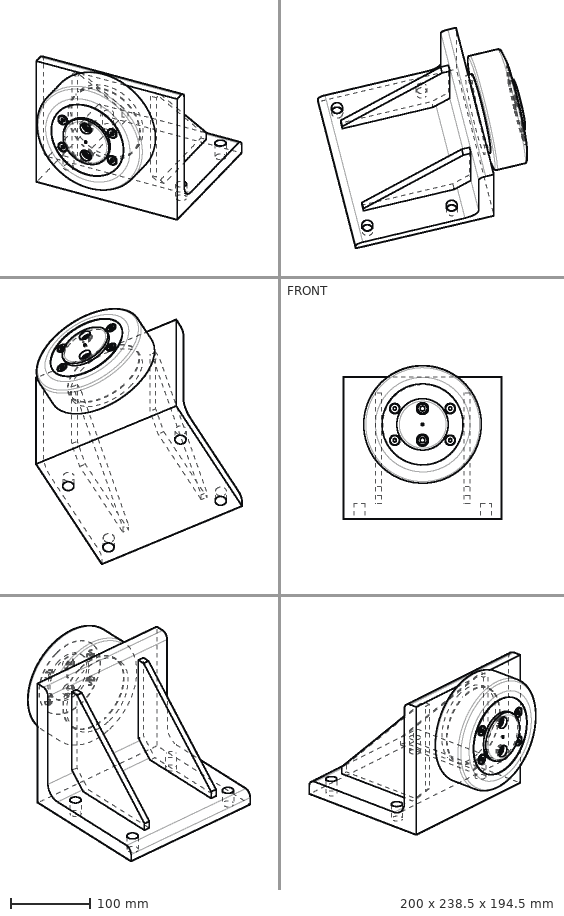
import cadquery as cq
import math

width = 200.0
leg = 180.0
plate = 20.0
inner_radius = 18.0
toe_radius = 9.0

hole_diameter = 14.0
hole_spacing_x = 160.0
hole_spacing_y = 110.0
edge_margin = 20.0

gusset_thickness = 8.0
gusset_outer_span = 120.0
gusset_nose = 10.0
gusset_corner_cut = 22.0

axis_height = 120.0
boss_diameter = 103.0
boss_front = 7.6
spacer_diameter = 101.4
roller_radius = 74.5
roller_back = 8.0
roller_front = 53.2
flat_radius = 59.9
crown_angle = 14
back_rim_fillet = 2.5
front_rim_fillet = 3.0
cover_diameter = 102.5
cover_front = 54.0
hub_diameter = 65.0
hub_front = 58.5
hub_chamfer_radial = 2.9
hub_chamfer_axial = 0.7
grease_hole_diameter = 3.0
grease_hole_depth = 2.5

head_diameter = 11.7
head_bore_diameter = 12.9
head_bore_depth = 1.2
head_rise = 0.5
socket_depth = 2.5
screw_offset_x = 35.0
screw_offset_z = 20.0
cover_socket_flats = 4.0
cover_socket_turn = 0
hub_socket_flats = 6.0
hub_socket_turn = 0
hub_bore_diameter = 15.0
hub_bore_depth = 5.7


def front_plane(depth):
    """Plane facing -Y on the roller axis, at the given depth in front of the wall plate."""
    return cq.Workplane(cq.Plane(origin=(0, -depth, axis_height), xDir=(1, 0, 0), normal=(0, -1, 0)))


def disc(diameter, back, front, x=0, z=0):
    """Round disc between two depths, offset by x and z from the roller axis."""
    return front_plane(back).center(x, z).circle(diameter / 2).extrude(front - back)


def make_bracket():
    angle = (
        cq.Workplane("YZ")
        .polyline([(0, 0), (leg, 0), (leg, plate), (plate, plate), (plate, leg), (0, leg)])
        .close()
        .extrude(width / 2, both=True)
    )
    angle = angle.edges(cq.selectors.NearestToPointSelector((0, plate, plate))).fillet(inner_radius)
    for toe in [(0, leg, plate), (0, plate, leg)]:
        angle = angle.edges(cq.selectors.NearestToPointSelector(toe)).fillet(toe_radius)
    holes = (
        cq.Workplane("XY")
        .center(0, leg - edge_margin - hole_spacing_y / 2)
        .rarray(hole_spacing_x, hole_spacing_y, 2, 2)
        .circle(hole_diameter / 2)
        .extrude(plate)
    )
    return angle.cut(holes)


def make_gusset(x_start):
    end = leg - edge_margin
    outline = [
        (plate + gusset_corner_cut, plate),
        (end, plate),
        (end, plate + gusset_nose),
        (plate + gusset_nose, end),
        (plate, end),
        (plate, plate + gusset_corner_cut),
    ]
    return cq.Workplane("YZ").workplane(offset=x_start).polyline(outline).close().extrude(gusset_thickness)


def make_roller():
    crown_drop = (roller_radius - flat_radius) * math.tan(math.radians(crown_angle))
    half_section = [
        (0, -roller_back),
        (roller_radius, -roller_back),
        (roller_radius, crown_drop - roller_front),
        (flat_radius, -roller_front),
        (0, -roller_front),
    ]
    roller = cq.Workplane("XY").polyline(half_section).close().revolve(360, (0, 0, 0), (0, 1, 0))
    rim = cq.selectors.RadiusNthSelector(-1)
    roller = roller.edges(rim).edges("<Y").fillet(front_rim_fillet)
    roller = roller.faces(">Y").edges().fillet(back_rim_fillet)
    return roller.translate((0, 0, axis_height))


def make_hub():
    hub = disc(hub_diameter, roller_front, hub_front)
    return hub.faces("<Y").chamfer(hub_chamfer_axial, hub_chamfer_radial)


def add_screw(body, x, z, face, socket_flats, socket_turn):
    """Set a screw head into the body's face that lies at depth `face`."""
    seat = face - head_bore_depth
    top = face + head_rise
    socket = (
        front_plane(top)
        .center(x, z)
        .transformed(rotate=(0, 0, socket_turn))
        .polygon(6, socket_flats, circumscribed=True)
        .extrude(-socket_depth)
    )
    body = body.cut(disc(head_bore_diameter, seat, face, x, z))
    return body.union(disc(head_diameter, seat, top, x, z)).cut(socket)


result = make_bracket()
for x_start in (-gusset_outer_span / 2, gusset_outer_span / 2 - gusset_thickness):
    result = result.union(make_gusset(x_start))

result = result.union(disc(boss_diameter, 0, boss_front))
result = result.union(disc(spacer_diameter, boss_front, roller_back))
result = result.union(make_roller())
result = result.union(disc(cover_diameter, roller_front, cover_front))
result = result.union(make_hub())
result = result.cut(disc(grease_hole_diameter, hub_front - grease_hole_depth, hub_front))

hub_bore_floor = hub_front - hub_bore_depth
for z in (-screw_offset_z, screw_offset_z):
    result = result.cut(disc(hub_bore_diameter, hub_bore_floor, hub_front, 0, z))
    result = add_screw(result, 0, z, hub_bore_floor, hub_socket_flats, hub_socket_turn)

    for x in (-screw_offset_x, screw_offset_x):
        result = add_screw(result, x, z, cover_front, cover_socket_flats, cover_socket_turn)